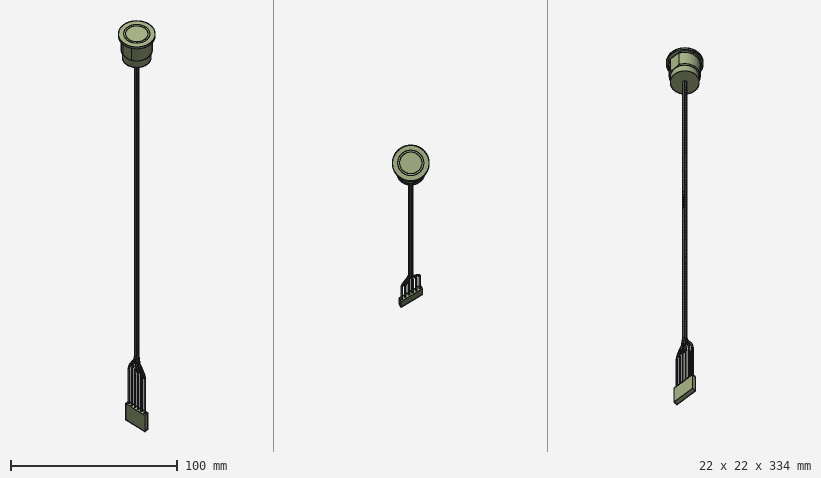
import cadquery as cq
import math

total_height = 334.0

housing_height = 20.0
flange_diameter = 22.0
flange_thickness = 1.7
body_diameter = 18.7
body_depth = 14.5
barrel_diameter = 17.5
flat_spacing = barrel_diameter
body_chamfer = (body_diameter - barrel_diameter) / 2

ring_diameter = 15.7
button_diameter = 13.5
insert_depth = flange_thickness

wire_diameter = 1.0
conductor_diameter = 0.7
stripped_length = 0.5
bundle_radius = 0.95
bundle_angles = [150, 210, 90, 270, 30, 330]
wire_count = len(bundle_angles)
fan_top = 60.0
fan_bottom = 41.8

wire_pitch = 2.55
connector_width = wire_count * wire_pitch
connector_thickness = 2.7
connector_height = 14.0
socket_depth = 10.0

housing_bottom = total_height - housing_height
body_bottom = total_height - body_depth
flange_bottom = total_height - flange_thickness
recess_floor = total_height - insert_depth
insulation_end = connector_height + stripped_length
socket_bottom = connector_height - socket_depth


def cylinder(diameter, bottom, top):
    """Upright cylinder on the Z axis."""
    return cq.Workplane("XY").workplane(offset=bottom).circle(diameter / 2).extrude(top - bottom)


def make_flatted_body():
    """Round body that flares into the flange, tapers to the barrel and has flats on its Y sides."""
    radius = body_diameter / 2
    round_body = (
        cq.Workplane("XZ")
        .moveTo(0, body_bottom)
        .lineTo(radius - body_chamfer, body_bottom)
        .lineTo(radius, body_bottom + body_chamfer)
        .lineTo(radius, flange_bottom - body_chamfer)
        .lineTo(radius + body_chamfer, flange_bottom)
        .lineTo(0, flange_bottom)
        .close()
        .revolve()
    )
    between_flats = (
        cq.Workplane("XY")
        .workplane(offset=body_bottom)
        .rect(flange_diameter, flat_spacing)
        .extrude(flange_bottom - body_bottom)
    )
    return round_body.intersect(between_flats)


def make_housing():
    """Barrel, body and flange in one piece, with a recess in the top for the ring and button."""
    barrel = cylinder(barrel_diameter, housing_bottom, body_bottom)
    flange = cylinder(flange_diameter, flange_bottom, total_height)
    recess = cylinder(ring_diameter, recess_floor, total_height)
    return barrel.union(make_flatted_body()).union(flange).cut(recess)


def make_button():
    """Round button, flush with the flange."""
    return cylinder(button_diameter, recess_floor, total_height)


def make_ring():
    """Ring between the button and the housing, flush with the flange."""
    return cylinder(ring_diameter, recess_floor, total_height).cut(make_button())


def row_position(index):
    """X of a wire in the connector row, counted from the -X end."""
    return (index - (wire_count - 1) / 2) * wire_pitch


def make_wire(index):
    """One wire: straight in the bundle, an S-curve in the fan, then straight to the connector."""
    angle = math.radians(bundle_angles[index])
    bundle_x = bundle_radius * math.cos(angle)
    bundle_y = bundle_radius * math.sin(angle)
    row_x = row_position(index)

    top = cq.Vector(bundle_x, bundle_y, housing_bottom)
    fan_start = cq.Vector(bundle_x, bundle_y, fan_top)
    fan_end = cq.Vector(row_x, 0, fan_bottom)
    bottom = cq.Vector(row_x, 0, insulation_end)
    down = cq.Vector(0, 0, -1)
    path = cq.Wire.assembleEdges(
        [
            cq.Edge.makeLine(top, fan_start),
            cq.Edge.makeSpline([fan_start, fan_end], tangents=[down, down]),
            cq.Edge.makeLine(fan_end, bottom),
        ]
    )
    insulated = (
        cq.Workplane("XY", origin=top.toTuple())
        .circle(wire_diameter / 2)
        .sweep(cq.Workplane(path))
    )
    conductor = cylinder(conductor_diameter, socket_bottom, insulation_end).translate((row_x, 0, 0))
    return insulated.union(conductor)


def make_harness():
    """All wires as one solid, merged in the bundle and separate below it."""
    harness = make_wire(0)
    for index in range(1, wire_count):
        harness = harness.union(make_wire(index))
    return harness


def make_connector():
    """Block with a row of blind sockets in its top, one for each conductor."""
    block = cq.Workplane("XY").box(
        connector_width, connector_thickness, connector_height, centered=(True, True, False)
    )
    sockets = (
        cq.Workplane("XY")
        .workplane(offset=socket_bottom)
        .pushPoints([(row_position(index), 0) for index in range(wire_count)])
        .circle(conductor_diameter / 2)
        .extrude(socket_depth)
    )
    return block.cut(sockets)


housing = make_housing()
ring = make_ring()
button = make_button()
harness = make_harness()
connector = make_connector()

result = cq.Compound.makeCompound(
    [
        *housing.solids().vals(),
        *ring.solids().vals(),
        *button.solids().vals(),
        *harness.solids().vals(),
        *connector.solids().vals(),
    ]
)